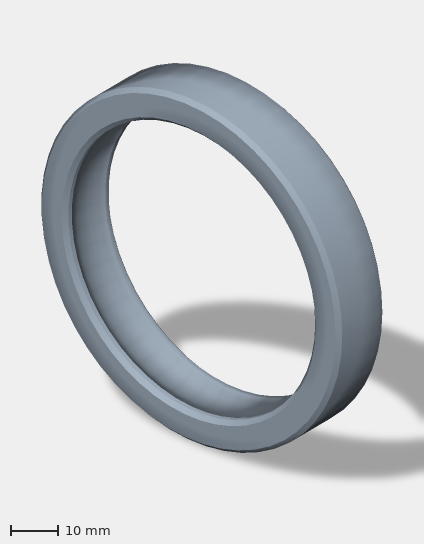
import cadquery as cq

outer_radius = 42.0
bore_radius = 34.4
ring_width = 15.0
chamfer = 1.0
land_width = 1.1
raceway_depth = 3.0

half_width = ring_width / 2
chamfer_start = half_width - chamfer
raceway_half_width = chamfer_start - land_width

profile = (
    cq.Workplane("XY")
    .moveTo(bore_radius + chamfer, -half_width)
    .lineTo(outer_radius - chamfer, -half_width)
    .lineTo(outer_radius, -chamfer_start)
    .lineTo(outer_radius, chamfer_start)
    .lineTo(outer_radius - chamfer, half_width)
    .lineTo(bore_radius + chamfer, half_width)
    .lineTo(bore_radius, chamfer_start)
    .lineTo(bore_radius, raceway_half_width)
    .threePointArc(
        (bore_radius + raceway_depth, 0),
        (bore_radius, -raceway_half_width),
    )
    .lineTo(bore_radius, -chamfer_start)
    .close()
)

result = profile.revolve(360, (0, 0, 0), (0, 1, 0))